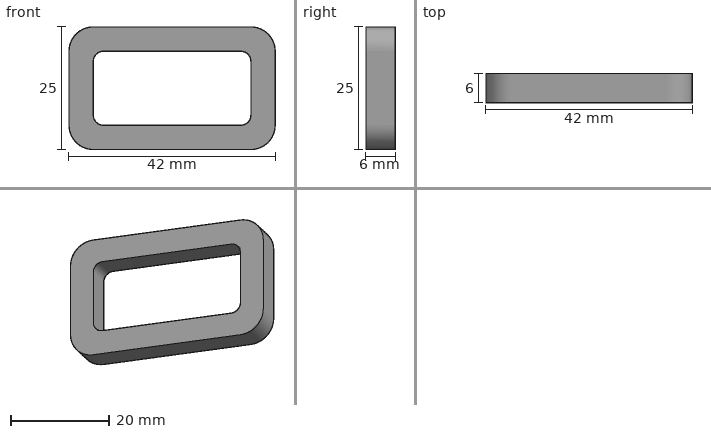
import cadquery as cq

length = 42.0
thickness = 6.0
height = 25.0
band_width = 5.0
outer_radius = 5.0
inner_radius = 2.0


def rounded_block(size_x, size_z, corner_radius):
    """Block of the ring's thickness with its four Y-direction edges rounded."""
    return cq.Workplane("XY").box(size_x, thickness, size_z).edges("|Y").fillet(corner_radius)


outer_body = rounded_block(length, height, outer_radius)
opening = rounded_block(length - 2 * band_width, height - 2 * band_width, inner_radius)

result = outer_body.cut(opening)